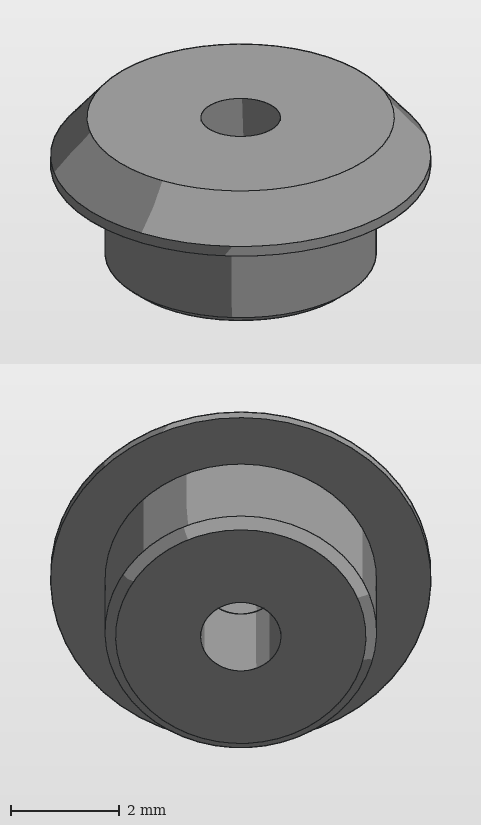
import cadquery as cq

flange_diameter = 7.0
flange_top_diameter = 5.655
flange_height = 1.0
rim_height = 0.2

plug_diameter = 5.0
plug_height = 2.0
plug_chamfer_width = 0.195
plug_chamfer_height = 0.17

flange_hole_diameter = 1.46
plug_hole_diameter = 1.48

flange_radius = flange_diameter / 2
flange_top_radius = flange_top_diameter / 2
plug_radius = plug_diameter / 2
flange_hole_radius = flange_hole_diameter / 2
plug_hole_radius = plug_hole_diameter / 2
total_height = plug_height + flange_height

section = (
    cq.Workplane("XZ")
    .moveTo(plug_hole_radius, 0)
    .lineTo(plug_radius - plug_chamfer_width, 0)
    .lineTo(plug_radius, plug_chamfer_height)
    .lineTo(plug_radius, plug_height)
    .lineTo(flange_radius, plug_height)
    .lineTo(flange_radius, plug_height + rim_height)
    .lineTo(flange_top_radius, total_height)
    .lineTo(flange_hole_radius, total_height)
    .lineTo(flange_hole_radius, plug_height)
    .lineTo(plug_hole_radius, plug_height)
    .close()
)

result = section.revolve(360, (0, 0, 0), (0, 1, 0))